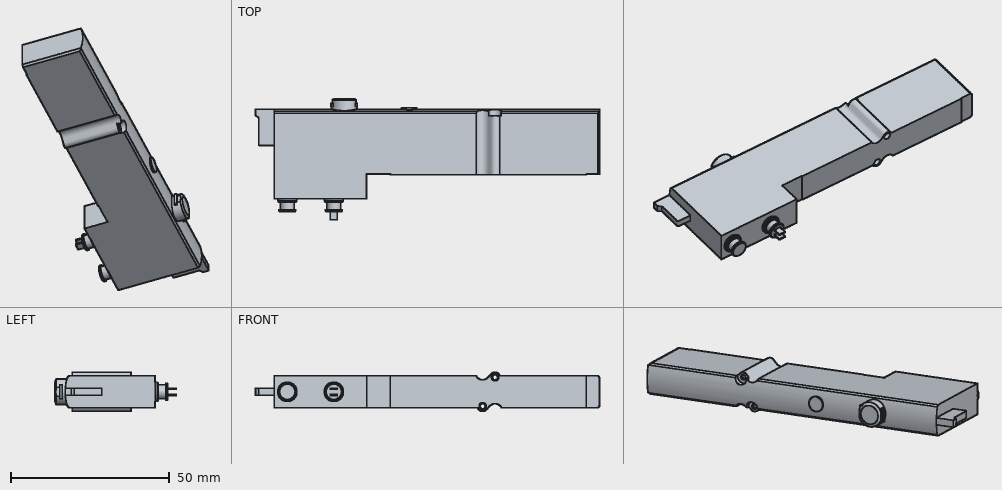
import cadquery as cq
import math


length = 108.5
thickness = 10.2
half_thickness = thickness / 2
body_left = 6.0
front_y = 14.2
back_y = 34.9
crown_radius = 16.3
edge_y = 34.3
edge_setback = 0.7
end_chamfer = 0.7

block_right = 35.0
block_front_y = 6.6

relief_depth = 0.2
block_relief_right = 42.5
end_relief_left = 104.3

pair_center_x = 73.6
bore_offset_x = 2.0
bore_z = 4.6
bore_diameter = 2.3
neck_diameter = 1.6
neck_length = 1.1
rib_radius = 1.6
groove_z = 6.1
groove_radius = 2.3
counterbore_diameter = 3.9
counterbore_y = 32.8

lever_thickness = 2.3
lever_front_y = 23.4
lever_step_x = 1.1
lever_head_y = 33.0
lever_neck_y = 32.1
lever_corner_radius = 0.3

plunger_xs = (10.1, 24.7)
collar_diameter = 6.1
collar_length = 1.0
collar_chamfer = 0.3
stem_diameter = 4.5
head_diameter = 5.3
head_front_y = 2.6
head_length = 0.7
head_chamfer = 0.2

pin_width = 2.3
pin_thickness = 0.4
pin_offset_z = 1.0

knob_x = 28.0
knob_diameter = 8.1
knob_top_y = 38.2
knob_face_diameter = 6.1
knob_chamfer_height = 0.4
knob_flat_spacing = 7.6
pad_projection = 0.1
pad_width = 4.3
pad_y = 36.2
pad_height = 0.9
button_x = 48.5
button_diameter = 4.9
button_height = 0.4


def box(x0, x1, y0, y1, z0, z1):
    corner = cq.Workplane("XY").box(x1 - x0, y1 - y0, z1 - z0, centered=False)
    return corner.translate((x0, y0, z0))


def cylinder(x, z, diameter, y0, y1):
    """Cylinder along Y from y0 to y1."""
    disc = cq.Workplane("XZ", origin=(x, y0, z)).circle(diameter / 2)
    return disc.extrude(y0 - y1)


def on_circle(center, radius, angle):
    return (center[0] + radius * math.cos(angle), center[1] + radius * math.sin(angle))


def upper_edge_arcs():
    """Groove and rib of the upper edge as three-point arcs, joined by a straight wall tangent to both."""
    groove = (pair_center_x - bore_offset_x, groove_z)
    rib = (pair_center_x + bore_offset_x, bore_z)
    run, rise = rib[0] - groove[0], rib[1] - groove[1]
    wall_turn = math.acos((groove_radius + rib_radius) / math.hypot(run, rise))
    wall_angle = math.atan2(rise, run) - wall_turn
    groove_start = -math.pi - math.asin((half_thickness - groove_z) / groove_radius)
    rib_end = math.asin((half_thickness - bore_z) / rib_radius)
    groove_arc = [
        on_circle(groove, groove_radius, angle)
        for angle in (groove_start, -math.pi / 2, wall_angle)
    ]
    rib_arc = [
        on_circle(rib, rib_radius, angle)
        for angle in (math.pi + wall_angle, math.pi / 2, rib_end)
    ]
    return groove_arc, rib_arc


def half_turn(point):
    return (2 * pair_center_x - point[0], -point[1])


def make_slab():
    """Long body with its ribs and grooves, relieved front face and crowned back."""
    groove_arc, rib_arc = upper_edge_arcs()
    lower_groove = [half_turn(point) for point in groove_arc]
    lower_rib = [half_turn(point) for point in rib_arc]
    outline = (
        cq.Workplane("XZ", origin=(0, front_y, 0))
        .moveTo(body_left, half_thickness)
        .lineTo(*groove_arc[0])
        .threePointArc(*groove_arc[1:])
        .lineTo(*rib_arc[0])
        .threePointArc(*rib_arc[1:])
        .lineTo(length - end_chamfer, half_thickness)
        .lineTo(length, half_thickness - end_chamfer)
        .lineTo(length, end_chamfer - half_thickness)
        .lineTo(length - end_chamfer, -half_thickness)
        .lineTo(*lower_groove[0])
        .threePointArc(*lower_groove[1:])
        .lineTo(*lower_rib[0])
        .threePointArc(*lower_rib[1:])
        .lineTo(body_left, -half_thickness)
        .close()
    )
    slab = outline.extrude(front_y - knob_top_y)
    for x0, x1 in ((block_right, block_relief_right), (end_relief_left, length)):
        slab = slab.cut(box(x0, x1, front_y, front_y + relief_depth, -half_thickness, half_thickness))
    return slab.intersect(make_crown())


def make_crown():
    """Cross-section limit: a gently arched back whose long edges are bevelled."""
    rib_top = bore_z + rib_radius
    crown_half_width = math.sqrt(crown_radius**2 - (crown_radius - back_y + edge_y) ** 2)
    bevel_y = edge_y - edge_setback
    section = (
        cq.Workplane("YZ", origin=(body_left, 0, 0))
        .moveTo(front_y, rib_top)
        .lineTo(counterbore_y, rib_top)
        .lineTo(bevel_y, half_thickness)
        .lineTo(edge_y, crown_half_width)
        .threePointArc((back_y, 0), (edge_y, -crown_half_width))
        .lineTo(bevel_y, -half_thickness)
        .lineTo(counterbore_y, -rib_top)
        .lineTo(front_y, -rib_top)
        .close()
    )
    return section.extrude(length - body_left)


def cut_bores(body):
    for side in (1, -1):
        x = pair_center_x + side * bore_offset_x
        z = side * bore_z
        body = body.cut(cylinder(x, z, neck_diameter, front_y, back_y))
        body = body.cut(cylinder(x, z, bore_diameter, front_y, counterbore_y - neck_length))
        body = body.cut(cylinder(x, z, counterbore_diameter, counterbore_y, back_y))
    return body


def make_lever():
    outline = (
        cq.Workplane("XY", origin=(0, 0, -lever_thickness / 2))
        .moveTo(body_left, back_y)
        .lineTo(0, back_y)
        .lineTo(0, lever_head_y)
        .lineTo(lever_step_x, lever_neck_y)
        .lineTo(lever_step_x, lever_front_y)
        .lineTo(body_left, lever_front_y)
        .close()
    )
    lever = outline.extrude(lever_thickness)
    return lever.faces("<Y").edges("|Z").edges("<X").fillet(lever_corner_radius)


def make_plunger(x):
    collar_front_y = block_front_y - collar_length
    collar = cylinder(x, 0, collar_diameter, collar_front_y, block_front_y)
    collar = collar.faces("<Y").chamfer(collar_chamfer)
    stem = cylinder(x, 0, stem_diameter, head_front_y, block_front_y)
    head = cylinder(x, 0, head_diameter, head_front_y, head_front_y + head_length)
    head = head.faces("<Y").chamfer(head_chamfer)
    return collar.union(stem).union(head)


def make_pin(x, z):
    half_width, half_height = pin_width / 2, pin_thickness / 2
    return box(x - half_width, x + half_width, 0, head_front_y, z - half_height, z + half_height)


def make_knob():
    knob = cylinder(knob_x, 0, knob_diameter, edge_y, knob_top_y)
    face_inset = (knob_diameter - knob_face_diameter) / 2
    knob = knob.faces(">Y").edges().chamfer(knob_chamfer_height, face_inset)
    pad_top_y = pad_y + pad_height / 2
    for side in (1, -1):
        flat_x = knob_x + side * knob_flat_spacing / 2
        outer_x = knob_x + side * knob_diameter / 2
        x0, x1 = sorted((flat_x, outer_x))
        knob = knob.cut(box(x0, x1, pad_top_y, knob_top_y, -knob_diameter / 2, knob_diameter / 2))
    reach = knob_diameter / 2 + pad_projection
    pads = box(
        knob_x - reach, knob_x + reach,
        pad_top_y - pad_height, pad_top_y,
        -pad_width / 2, pad_width / 2,
    )
    return knob.union(pads)


result = cut_bores(make_slab())
result = result.union(
    box(body_left, block_right, block_front_y, front_y + relief_depth, -half_thickness, half_thickness)
)
result = result.union(make_lever())
for plunger_x in plunger_xs:
    result = result.union(make_plunger(plunger_x))
for pin_side in (1, -1):
    result = result.union(make_pin(plunger_xs[1], pin_side * pin_offset_z))
result = result.union(make_knob())
result = result.union(cylinder(button_x, 0, button_diameter, edge_y, back_y + button_height))